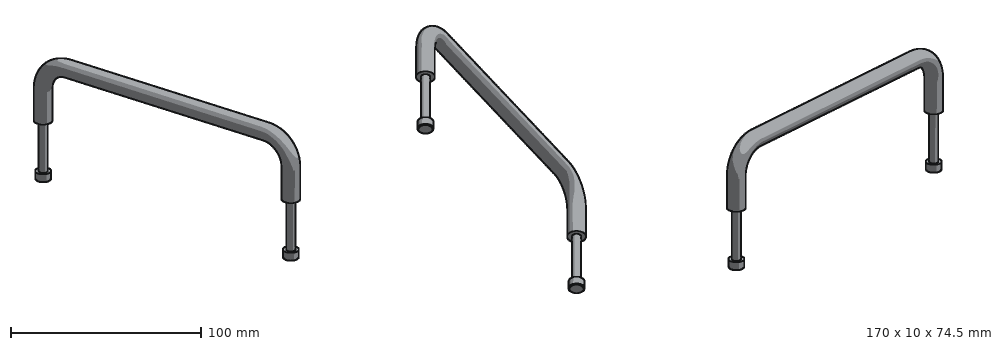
import cadquery as cq

overall_length = 170.0
overall_height = 74.5

bar_diameter = 10.0
bend_radius = 16.0
handle_height = 40.0

shank_diameter = 5.0
head_diameter = 8.5
head_height = 5.0
head_chamfer = 0.5
screw_engagement = 5.5

leg_x = (overall_length - bar_diameter) / 2
grip_z = handle_height - bar_diameter / 2
bend_start_z = grip_z - bend_radius
grip_half_length = leg_x - bend_radius
screw_bottom_z = handle_height - overall_height


def make_handle():
    """Sweep the bar along its U-shaped centreline and bore both leg ends."""
    centreline = (
        cq.Workplane("XZ")
        .moveTo(-leg_x, 0)
        .lineTo(-leg_x, bend_start_z)
        .tangentArcPoint((-grip_half_length, grip_z), relative=False)
        .lineTo(grip_half_length, grip_z)
        .tangentArcPoint((leg_x, bend_start_z), relative=False)
        .lineTo(leg_x, 0)
    )
    bar = cq.Workplane("XY").center(-leg_x, 0).circle(bar_diameter / 2).sweep(centreline)
    screw_holes = (
        cq.Workplane("XY")
        .pushPoints([(-leg_x, 0), (leg_x, 0)])
        .circle(shank_diameter / 2)
        .extrude(screw_engagement)
    )
    return bar.cut(screw_holes, clean=False)


def make_screw(x):
    """Revolve a cap screw about the leg axis at x, with its head at the bottom."""
    shank_radius = shank_diameter / 2
    head_radius = head_diameter / 2
    head_top_z = screw_bottom_z + head_height
    return (
        cq.Workplane("XZ")
        .moveTo(0, screw_bottom_z)
        .lineTo(head_radius - head_chamfer, screw_bottom_z)
        .lineTo(head_radius, screw_bottom_z + head_chamfer)
        .lineTo(head_radius, head_top_z)
        .lineTo(shank_radius, head_top_z)
        .lineTo(shank_radius, screw_engagement)
        .lineTo(0, screw_engagement)
        .close()
        .revolve(360, (0, 0), (0, 1))
        .translate((x, 0, 0))
    )


handle = make_handle()

screws = []
for screw_x in (-leg_x, leg_x):
    screws.append(make_screw(screw_x).val())

result = cq.Compound.makeCompound([handle.val(), *screws])